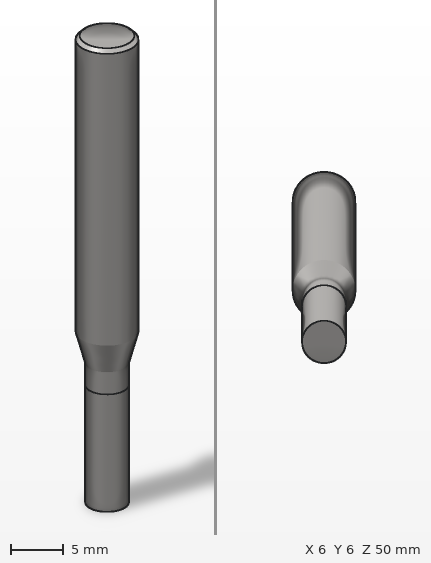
import cadquery as cq

total_length = 50.0
shank_diameter = 6.0
top_chamfer = 0.4
neck_diameter = 4.2
cutter_length = 12.6
taper_bottom = 15.0
taper_top = 18.3


def make_shank():
    """Chamfered shank, taper and neck, revolved as one body."""
    shank_radius = shank_diameter / 2
    neck_radius = neck_diameter / 2
    return (
        cq.Workplane("XZ")
        .moveTo(0, cutter_length)
        .lineTo(neck_radius, cutter_length)
        .lineTo(neck_radius, taper_bottom)
        .lineTo(shank_radius, taper_top)
        .lineTo(shank_radius, total_length - top_chamfer)
        .lineTo(shank_radius - top_chamfer, total_length)
        .lineTo(0, total_length)
        .close()
        .revolve(360, (0, 0, 0), (0, 1, 0))
    )


def make_cutter():
    """Plain cylindrical cutting section that meets the end of the neck."""
    return cq.Workplane("XY").circle(neck_diameter / 2).extrude(cutter_length)


shank = make_shank()
cutter = make_cutter()

result = cq.Compound.makeCompound([shank.val(), cutter.val()])